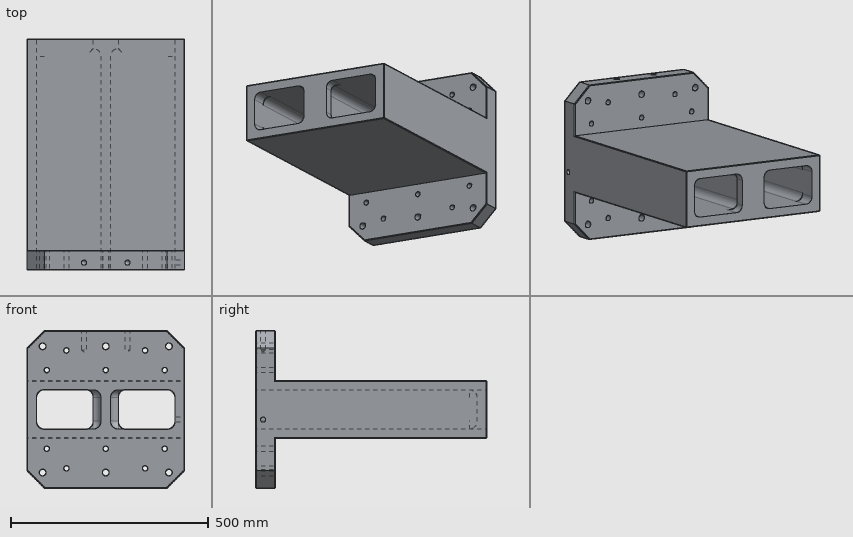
import cadquery as cq
import math

plate_side = 400.0
plate_thickness = 50.0
plate_corner_cut = 44.5
edge_break = 2.0

total_length = 586.5
block_height = 146.5
side_wall = 24.5
rear_wall = 24.5
web_thickness = 24.0
chamber_height = 99.5
chamber_radius = 20.0
chamber_width = (plate_side - web_thickness) / 2 - side_wall
chamber_center_x = (web_thickness + chamber_width) / 2
chamber_depth = total_length - rear_wall

chamber_end_radius = chamber_radius * 0.999

rear_opening_radius = 17.5
rear_opening_clearance = 0.5
rear_opening_width = chamber_width - chamber_radius - rear_opening_clearance
rear_opening_center_x = plate_side / 2 - side_wall - rear_opening_width / 2

mount_diameter = 16.5
mount_offset = 160.0
pin_diameter = 13.0
pin_pitch = 99.5
pin_middle = 1.5 * pin_pitch

port_diameter = 13.0
port_y = 19.0
top_port_x = 55.0
top_port_depth = 50.0
drill_point_angle = 118
side_port_z = -26.0


def make_plate():
    plate = cq.Workplane("XY").box(plate_side, plate_thickness, plate_side, centered=(True, False, True))
    plate = plate.edges("|Y").chamfer(plate_corner_cut)
    return plate.faces("<Y or >Y").edges().chamfer(edge_break)


def make_block():
    start_y = plate_thickness / 2
    length = total_length - start_y
    block = cq.Workplane("XY").box(plate_side, length, block_height, centered=(True, False, True))
    block = block.translate((0, start_y, 0))
    return block.edges("|Y or >Y").chamfer(edge_break)


def rounded_bar(width, length, center_x, radius):
    bar = cq.Workplane("XY").box(width, length, chamber_height, centered=(True, False, True))
    bar = bar.translate((center_x, 0, 0))
    return bar.edges("|Y").fillet(radius)


def make_chamber(side):
    chamber = rounded_bar(chamber_width, chamber_depth, side * chamber_center_x, chamber_radius)
    chamber = chamber.faces(">Y").edges().fillet(chamber_end_radius)
    opening = rounded_bar(rear_opening_width, rear_wall + chamber_end_radius,
                          side * rear_opening_center_x, rear_opening_radius)
    return chamber.union(opening.translate((0, chamber_depth - chamber_end_radius, 0)))


def flange_holes(diameter, centers):
    holes = cq.Workplane("XZ").pushPoints(centers).circle(diameter / 2)
    return holes.extrude(-plate_thickness)


def make_top_port(x):
    radius = port_diameter / 2
    tip = radius / math.tan(math.radians(drill_point_angle / 2))
    outline = [(0, 0), (radius, 0), (radius, -top_port_depth), (0, -top_port_depth - tip)]
    port = cq.Workplane("XZ").polyline(outline).close().revolve(360, (0, 0, 0), (0, 1, 0))
    return port.translate((x, port_y, plate_side / 2))


def make_side_port():
    length = plate_side / 2 - chamber_center_x
    port = cq.Workplane("YZ").center(port_y, side_port_z).circle(port_diameter / 2).extrude(length)
    return port.translate((chamber_center_x, 0, 0))


mount_centers = [(x, z) for x in (-mount_offset, 0, mount_offset) for z in (-mount_offset, mount_offset)]
pin_centers = []
for z_side in (-1, 1):
    pin_centers += [(x, z_side * pin_pitch) for x in (-pin_middle, 0, pin_middle)]
    pin_centers += [(x, z_side * pin_middle) for x in (-pin_pitch, pin_pitch)]

result = make_plate().union(make_block())
result = result.cut(flange_holes(mount_diameter, mount_centers))
result = result.cut(flange_holes(pin_diameter, pin_centers))
for side in (-1, 1):
    result = result.cut(make_chamber(side))
    result = result.cut(make_top_port(side * top_port_x))
result = result.cut(make_side_port())